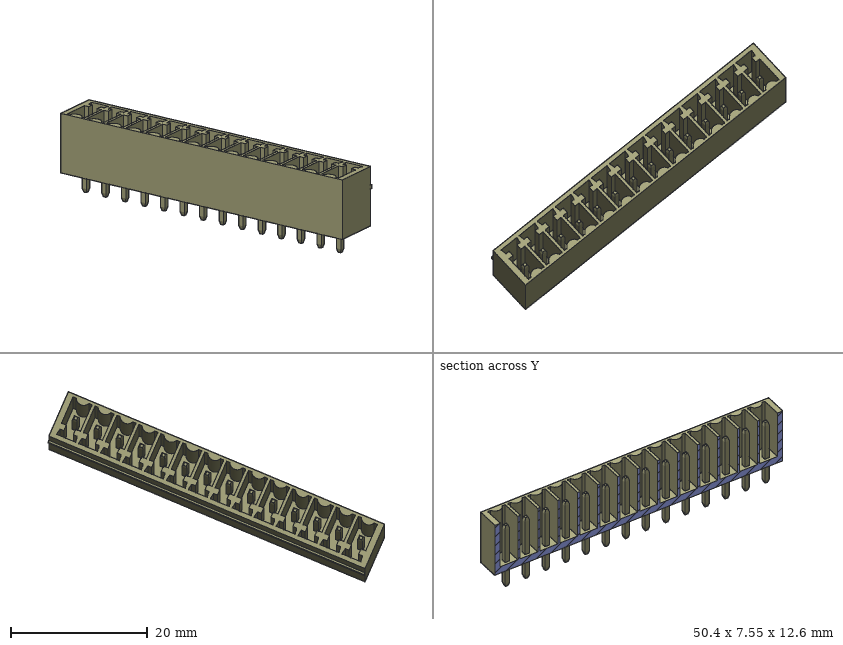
import cadquery as cq

housing_length = 50.4
housing_depth = 7.25
housing_height = 9.25

contact_count = 14
end_margin = 2.45
first_contact_x = -housing_length / 2 + end_margin
pitch = (housing_length - 2 * end_margin) / (contact_count - 1)

ridge_height = 0.6
ridge_projection = 0.3
ridge_center_z = 6.05

cavity_half_width = 1.5
neck_half_width = 0.75
keyway_half_width = 1.35
cavity_front_y = 0.45
shoulder_y = 4.75
keyway_y = 5.65
cavity_back_y = 6.55
cavity_floor_z = 1.25

rib_half_width = 1.0
rib_projection = 0.65

pin_width = 0.8
pin_tip_width = 0.45
pin_taper_length = 0.6
pin_y = 2.95
pin_tail_length = 3.35
pin_top_z = 7.85


def make_housing():
    """Solid block with a ridge running the full length of its back face."""
    block = cq.Workplane("XY").box(
        housing_length, housing_depth, housing_height, centered=(True, False, False)
    )
    ridge = (
        cq.Workplane("XY")
        .box(housing_length, ridge_projection, ridge_height, centered=(True, False, True))
        .translate((0, housing_depth, ridge_center_z))
    )
    return block.union(ridge)


def make_cavity():
    """Cavity centred on x = 0, with a necked keyway at the back and a rib bulging in from the front."""
    right_side = [
        (cavity_half_width, cavity_front_y),
        (cavity_half_width, shoulder_y),
        (neck_half_width, shoulder_y),
        (neck_half_width, keyway_y),
        (keyway_half_width, keyway_y),
        (cavity_half_width, cavity_back_y),
    ]
    left_side = [(-x, y) for x, y in reversed(right_side)]
    rib_crest = (0, cavity_front_y + rib_projection)
    rib_end = (rib_half_width, cavity_front_y)
    return (
        cq.Workplane("XY")
        .workplane(offset=cavity_floor_z)
        .moveTo(-rib_half_width, cavity_front_y)
        .threePointArc(rib_crest, rib_end)
        .polyline(right_side + left_side, includeCurrent=True)
        .close()
        .extrude(housing_height - cavity_floor_z)
    )


def make_pin():
    """Square pin centred on x = 0, running through the cavity floor and tapered at both ends."""
    taper_inset = (pin_width - pin_tip_width) / 2
    pin_length = pin_tail_length + pin_top_z
    return (
        cq.Workplane("XY")
        .box(pin_width, pin_width, pin_length, centered=(True, True, False))
        .faces("<Z or >Z")
        .chamfer(pin_taper_length, taper_inset)
        .translate((0, pin_y, -pin_tail_length))
    )


cavity = make_cavity()
pin = make_pin()

result = make_housing()
for index in range(contact_count):
    place = (first_contact_x + index * pitch, 0, 0)
    result = result.cut(cavity.translate(place)).union(pin.translate(place))